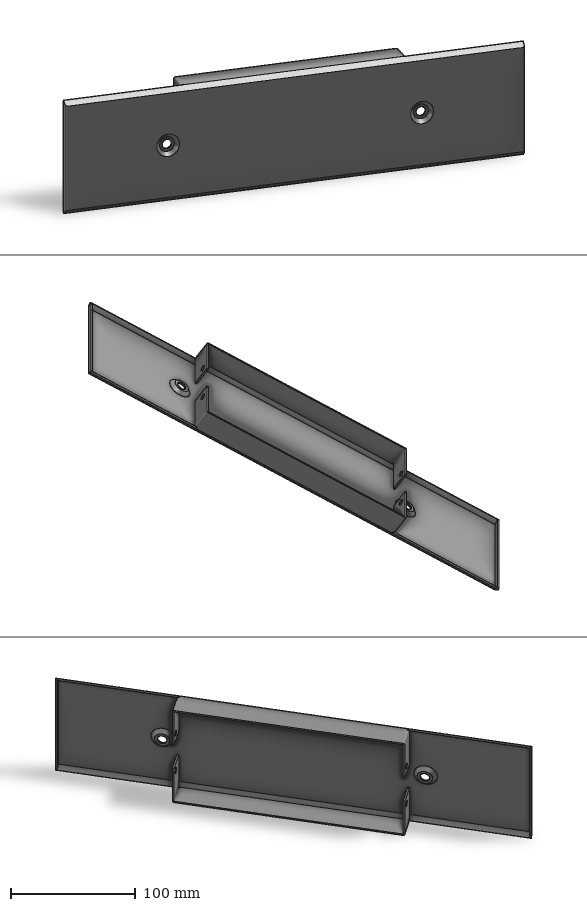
import math

import cadquery as cq

length = 391.0
height = 98.1
depth = 22.5

sheet = 1.5
inner_bend = 0.5
outer_bend = inner_bend + sheet

long_slope = 4.0
plate_back_x = depth - sheet
half_height = height / 2
lip_tip_x = depth - long_slope
lip_tip_step = sheet / math.sqrt(2)
rim_x = lip_tip_x - lip_tip_step
plate_half_height = half_height - long_slope
bend_shift = sheet * math.tan(math.pi / 8)

box_length = 191.2
wall_gap = 25.0

tab_hole_diameter = 5.0
tab_hole_x = 6.2
tab_hole_spacing = 40.0

seat_spacing = 216.0
seat_base_diameter = 19.3
seat_top_diameter = 12.6
seat_height = 3.0
screw_hole_diameter = 8.0


def block(x_start, x_end, size_y, size_z):
    """Box centred on the X axis, spanning x_start to x_end."""
    return cq.Workplane("YZ", origin=(x_start, 0, 0)).rect(size_y, size_z).extrude(x_end - x_start)


def mirrored_prism(half_profile, prism_length):
    """Prism along Y whose XZ outline is half_profile plus its mirror image below Z = 0."""
    lower_half = [(x, -z) for x, z in reversed(half_profile)]
    outline = cq.Workplane("XZ").polyline(half_profile + lower_half).close()
    return outline.extrude(prism_length / 2, both=True)


def make_tray():
    """Shallow tray, open towards -X, with sloped long lips and square end lips."""
    outer = mirrored_prism(
        [
            (rim_x, half_height - lip_tip_step),
            (lip_tip_x, half_height),
            (depth, plate_half_height),
        ],
        length,
    )
    outer = outer.faces("<Y or >Y").edges(">X").fillet(outer_bend)
    cavity = mirrored_prism(
        [
            (rim_x, half_height - lip_tip_step),
            (plate_back_x, plate_half_height - bend_shift),
        ],
        length - 2 * sheet,
    )
    return outer.cut(cavity)


def make_walls():
    """Long walls growing from the tray lips, with end tabs folded from them clear of the plate."""
    frame = block(0, rim_x, box_length, height).edges("|X").fillet(outer_bend)
    opening = block(0, rim_x, box_length - 2 * sheet, height - 2 * sheet)
    opening = opening.edges("|X").fillet(inner_bend)
    gap = block(0, rim_x, box_length, wall_gap)
    frame = frame.cut(opening).cut(gap)

    root_length = box_length - 2 * outer_bend
    roots = block(rim_x, lip_tip_x, root_length, height)
    roots = roots.cut(block(rim_x, lip_tip_x, root_length, height - 2 * sheet))
    return frame.union(roots)


def make_tab_holes():
    centres = [(tab_hole_x, side * tab_hole_spacing / 2) for side in (-1, 1)]
    holes = cq.Workplane("XZ").pushPoints(centres).circle(tab_hole_diameter / 2)
    return holes.extrude(box_length, both=True)


def seat_cone(base_x, seat_y):
    """Solid cone frustum of a screw seat, narrowing towards -X from base_x."""
    return (
        cq.Workplane("YZ", origin=(base_x, seat_y, 0))
        .circle(seat_base_diameter / 2)
        .workplane(offset=-seat_height)
        .circle(seat_top_diameter / 2)
        .loft()
    )


def add_seat(body, seat_y):
    """Seat pressed out of the plate: a cone on the back, a matching dish in the front, and a hole."""
    hole = cq.Workplane("YZ", origin=(0, seat_y, 0)).circle(screw_hole_diameter / 2).extrude(depth)
    return body.union(seat_cone(plate_back_x, seat_y)).cut(seat_cone(depth, seat_y)).cut(hole)


result = make_tray().union(make_walls()).cut(make_tab_holes())
for side in (-1, 1):
    result = add_seat(result, side * seat_spacing / 2)